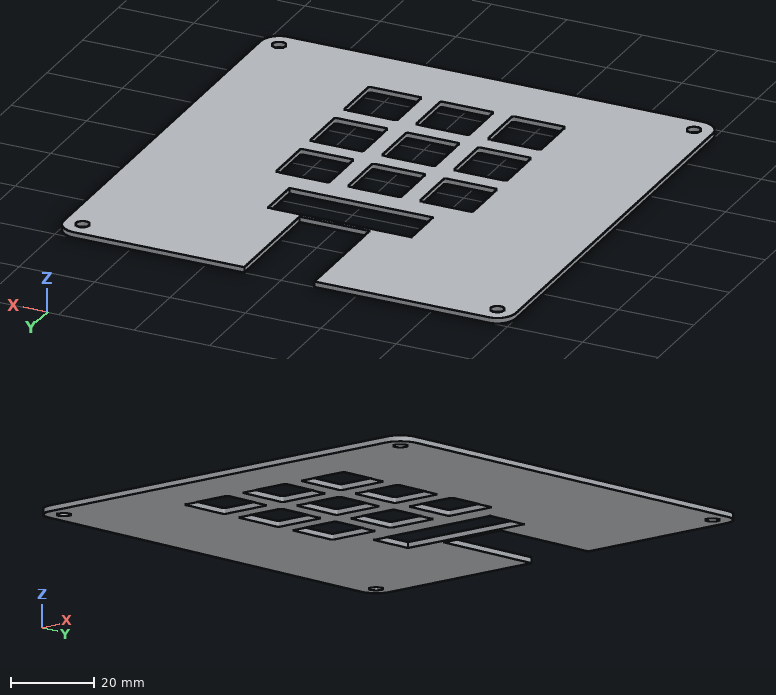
import cadquery as cq

plate_size = 120.0
thickness = 1.5
corner_radius = 5.0

screw_hole_diameter = 3.4
screw_spacing = plate_size - 2 * corner_radius

key_rows = 3
key_columns = 3
key_opening = 14.0
key_pitch = 19.05
key_corner_radius = 0.5
key_grid_x = -0.45
key_grid_y = -17.2

window_width = 38.0
window_height = 12.0
window_x = -0.25
window_y = 21.7

notch_width = 18.5
notch_depth = 31.0
notch_x = 0.5


def make_plate():
    """Square plate with rounded corners, resting on Z = 0."""
    blank = cq.Workplane("XY").rect(plate_size, plate_size).extrude(thickness)
    return blank.edges("|Z").fillet(corner_radius)


def make_screw_holes():
    """Cutter for the four corner screw holes."""
    corners = cq.Workplane("XY").rect(screw_spacing, screw_spacing, forConstruction=True)
    return corners.vertices().circle(screw_hole_diameter / 2).extrude(thickness)


def make_key_openings():
    """Cutter for the grid of square key openings with small corner radii."""
    openings = (
        cq.Workplane("XY")
        .center(key_grid_x, key_grid_y)
        .rarray(key_pitch, key_pitch, key_columns, key_rows)
        .rect(key_opening, key_opening)
        .extrude(thickness)
    )
    return openings.edges("|Z").fillet(key_corner_radius)


def make_window():
    """Cutter for the rectangular display window."""
    return (
        cq.Workplane("XY")
        .center(window_x, window_y)
        .rect(window_width, window_height)
        .extrude(thickness)
    )


def make_notch():
    """Cutter for the notch running in from the +Y edge."""
    notch_y = (plate_size - notch_depth) / 2
    return (
        cq.Workplane("XY")
        .center(notch_x, notch_y)
        .rect(notch_width, notch_depth)
        .extrude(thickness)
    )


result = (
    make_plate()
    .cut(make_screw_holes())
    .cut(make_key_openings())
    .cut(make_window())
    .cut(make_notch())
)